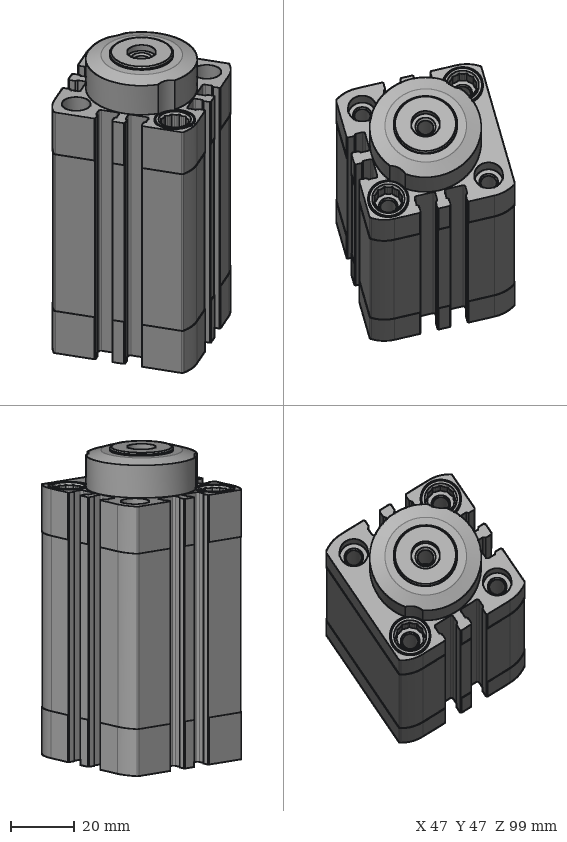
import cadquery as cq
import math

TOTAL_HEIGHT = 99.0
WIDTH = 47.0
BODY_TOP = 86.1
CAP_HEIGHT = 15.0
PROFILE_INSET = 0.15

SCREW_OFFSET = 16.2
CORNER_RADIUS = 12.5
CORNER_BLEND = 0.8

SLOT_OFFSET = 4.9
SLOT_MOUTH = 5.4
SLOT_WIDTH = 6.7
SLOT_DEPTH = 5.9
SLOT_LIP = 2.4
SLOT_SHOULDER = (SLOT_WIDTH - SLOT_MOUTH) / 2
SLOT_FILLET = 0.7
SLOT_EDGE_CHAMFER = 0.35

COLLAR_DIAMETER = 34.9
COLLAR_FLAT_DIAMETER = 25.5
COLLAR_TOP = 98.0
COLLAR_EDGE_Z = 96.5

SCREW_HOLE_DIAMETER = 4.95
SCREW_HOLE_CHAMFER = 0.5
COUNTERBORE_DIAMETER = 9.0
COUNTERBORE_DEPTH = 4.95

HEAD_DIAMETER = 12.8
HEAD_CHAMFER = 0.4
SOCKET_DEPTH = 5.5
SOCKET_TIP_DIAMETER = 8.6
SOCKET_ROOT_DIAMETER = 9.1
SOCKET_MOUTH_DIAMETER = 10.2
SOCKET_POINTS = 12
SOCKET_TIP_HALF_ANGLE = 5.0

ROD_DIAMETER = 20.0
ROD_CHAMFER = 0.5
ROD_BOTTOM = BODY_TOP - CAP_HEIGHT
ROD_COUNTERBORE_DEPTH = 2.1
ROD_HOLE_DIAMETER = 4.95
ROD_HOLE_DEPTH = 14.85
ROD_HOLE_CHAMFER = 0.7
DRILL_POINT_ANGLE = 118.0


def cylinder(diameter, z_bottom, z_top, x=0, y=0):
    return cq.Workplane("XY", (x, y, z_bottom)).circle(diameter / 2).extrude(z_top - z_bottom)


def cone(bottom_diameter, top_diameter, z_bottom, z_top, x=0, y=0):
    solid = cq.Solid.makeCone(
        bottom_diameter / 2, top_diameter / 2, z_top - z_bottom, cq.Vector(x, y, z_bottom)
    )
    return cq.Workplane(solid)


def body_block(inset, z_bottom, z_top):
    """Square block whose four corners are arcs tangent to the X sides."""
    half = WIDTH / 2 - inset
    radius = CORNER_RADIUS - inset
    arc_center_x = half - radius

    def on_arc(height):
        return arc_center_x + math.sqrt(radius**2 - height**2)

    rise = half - SCREW_OFFSET
    end_x = on_arc(rise)
    mid_x, mid_y = on_arc(rise / 2), SCREW_OFFSET + rise / 2
    block = (
        cq.Workplane("XY", (0, 0, z_bottom))
        .moveTo(half, -SCREW_OFFSET)
        .lineTo(half, SCREW_OFFSET)
        .threePointArc((mid_x, mid_y), (end_x, half))
        .lineTo(-end_x, half)
        .threePointArc((-mid_x, mid_y), (-half, SCREW_OFFSET))
        .lineTo(-half, -SCREW_OFFSET)
        .threePointArc((-mid_x, -mid_y), (-end_x, -half))
        .lineTo(end_x, -half)
        .threePointArc((mid_x, -mid_y), (half, -SCREW_OFFSET))
        .close()
        .extrude(z_top - z_bottom)
    )
    return block.faces("<Y or >Y").edges("|Z").fillet(CORNER_BLEND - inset)


def sensor_slot(offset, angle):
    """Stepped slot along Z in the -Y side, turned about Z to the side it belongs to."""
    side = -WIDTH / 2
    mouth = SLOT_MOUTH / 2
    flare = mouth + SLOT_EDGE_CHAMFER
    wide = SLOT_WIDTH / 2
    floor = side + SLOT_DEPTH
    half_outline = [
        (flare, side),
        (mouth, side + SLOT_EDGE_CHAMFER),
        (mouth, side + SLOT_LIP),
        (wide, side + SLOT_LIP + SLOT_SHOULDER),
        (wide, floor),
    ]
    mirrored = [(-x, y) for x, y in reversed(half_outline)]
    slot = cq.Workplane("XY").polyline(half_outline + mirrored).close().extrude(BODY_TOP)
    slot = slot.faces(">Y").edges("|Z").fillet(SLOT_FILLET)
    return slot.translate((offset, 0, 0)).rotate((0, 0, 0), (0, 0, 1), angle)


def collar():
    straight = cylinder(COLLAR_DIAMETER, BODY_TOP, COLLAR_EDGE_Z)
    return straight.union(cone(COLLAR_DIAMETER, COLLAR_FLAT_DIAMETER, COLLAR_EDGE_Z, COLLAR_TOP))


def chamfered_hole(x, y, top):
    """Through screw hole whose chamfered upper edge lies at the height `top`."""
    mouth = SCREW_HOLE_DIAMETER + 2 * SCREW_HOLE_CHAMFER
    hole = cylinder(SCREW_HOLE_DIAMETER, 0, top, x, y)
    return hole.union(cone(SCREW_HOLE_DIAMETER, mouth, top - SCREW_HOLE_CHAMFER, top, x, y))


def counterbored_hole(x, y):
    floor = BODY_TOP - COUNTERBORE_DEPTH
    return chamfered_hole(x, y, floor).union(cylinder(COUNTERBORE_DIAMETER, floor, BODY_TOP, x, y))


def head_groove(x, y):
    """Clearance through the collar above a head, and the V groove around its chamfered rim."""
    clearance = cylinder(HEAD_DIAMETER, BODY_TOP - HEAD_CHAMFER, COLLAR_TOP, x, y)
    rim_diameter = HEAD_DIAMETER - 2 * HEAD_CHAMFER
    rim = cone(HEAD_DIAMETER, rim_diameter, BODY_TOP - HEAD_CHAMFER, BODY_TOP, x, y)
    return clearance.cut(rim)


def socket_hole(x, y):
    """Twelve-point socket with a conical mouth, over a through screw hole."""
    floor = BODY_TOP - SOCKET_DEPTH
    tip_radius = SOCKET_TIP_DIAMETER / 2
    root_radius = SOCKET_ROOT_DIAMETER / 2
    mouth_depth = (SOCKET_MOUTH_DIAMETER - SOCKET_TIP_DIAMETER) / 2
    half_pitch = 180 / SOCKET_POINTS
    flank_angle = math.radians(half_pitch - SOCKET_TIP_HALF_ANGLE)
    tip_x = tip_radius * math.cos(flank_angle)
    tip_y = tip_radius * math.sin(flank_angle)

    socket = cylinder(SOCKET_TIP_DIAMETER, floor, BODY_TOP)
    point = (
        cq.Workplane("XY", (0, 0, floor))
        .polyline([(0, 0), (tip_x, -tip_y), (root_radius, 0), (tip_x, tip_y)])
        .close()
        .extrude(SOCKET_DEPTH)
    )
    for index in range(SOCKET_POINTS):
        socket = socket.union(point.rotate((0, 0, 0), (0, 0, 1), index * 2 * half_pitch))
    mouth_z = BODY_TOP - mouth_depth
    socket = socket.union(cone(SOCKET_TIP_DIAMETER, SOCKET_MOUTH_DIAMETER, mouth_z, BODY_TOP))
    return socket.translate((x, y, 0)).union(chamfered_hole(x, y, floor))


def make_housing():
    top_cap_z = BODY_TOP - CAP_HEIGHT
    housing = body_block(0, 0, CAP_HEIGHT)
    housing = housing.union(body_block(PROFILE_INSET, CAP_HEIGHT, top_cap_z))
    housing = housing.union(body_block(0, top_cap_z, BODY_TOP))

    for angle in (-90, 0, 90):
        for offset in (-SLOT_OFFSET, SLOT_OFFSET):
            housing = housing.cut(sensor_slot(offset, angle))

    housing = housing.union(collar())
    housing = housing.cut(cylinder(ROD_DIAMETER, ROD_BOTTOM, COLLAR_TOP))

    for sign in (-1, 1):
        x = sign * SCREW_OFFSET
        housing = housing.cut(counterbored_hole(x, x))
        housing = housing.cut(head_groove(x, -x))
        housing = housing.cut(socket_hole(x, -x))
    return housing


def make_rod():
    rod = cylinder(ROD_DIAMETER, ROD_BOTTOM, TOTAL_HEIGHT).faces(">Z").chamfer(ROD_CHAMFER)
    seat = TOTAL_HEIGHT - ROD_COUNTERBORE_DEPTH
    hole_end = seat - ROD_HOLE_DEPTH
    point_height = ROD_HOLE_DIAMETER / 2 / math.tan(math.radians(DRILL_POINT_ANGLE / 2))
    mouth = ROD_HOLE_DIAMETER + 2 * ROD_HOLE_CHAMFER

    rod = rod.cut(cylinder(COUNTERBORE_DIAMETER, seat, TOTAL_HEIGHT))
    rod = rod.cut(cone(ROD_HOLE_DIAMETER, mouth, seat - ROD_HOLE_CHAMFER, seat))
    rod = rod.cut(cylinder(ROD_HOLE_DIAMETER, hole_end, seat))
    return rod.cut(cone(0, ROD_HOLE_DIAMETER, hole_end - point_height, hole_end))


housing = make_housing()
piston_rod = make_rod()
result = cq.Compound.makeCompound([housing.val(), piston_rod.val()])